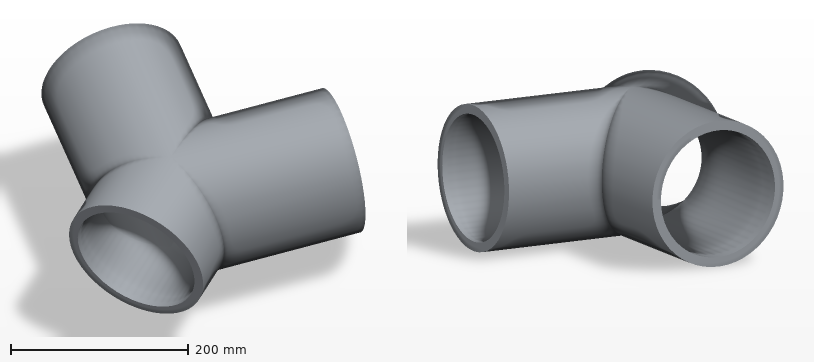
import cadquery as cq

outer_diameter = 168.28
bore_diameter = 146.33
stem_length = 88.9
branch_length = 203.2
branch_angle = 45.0


def leg(diameter, length, angle):
    """Cylinder from the origin, its axis turned from +Y by angle about Z."""
    cylinder = cq.Workplane("XZ").circle(diameter / 2).extrude(-length)
    return cylinder.rotate((0, 0, 0), (0, 0, 1), angle)


def wye(diameter):
    """Solid union of the stem and both branches at one diameter."""
    body = leg(diameter, stem_length, 180)
    for angle in (branch_angle, -branch_angle):
        body = body.union(leg(diameter, branch_length, angle))
    return body


result = wye(outer_diameter).cut(wye(bore_diameter))